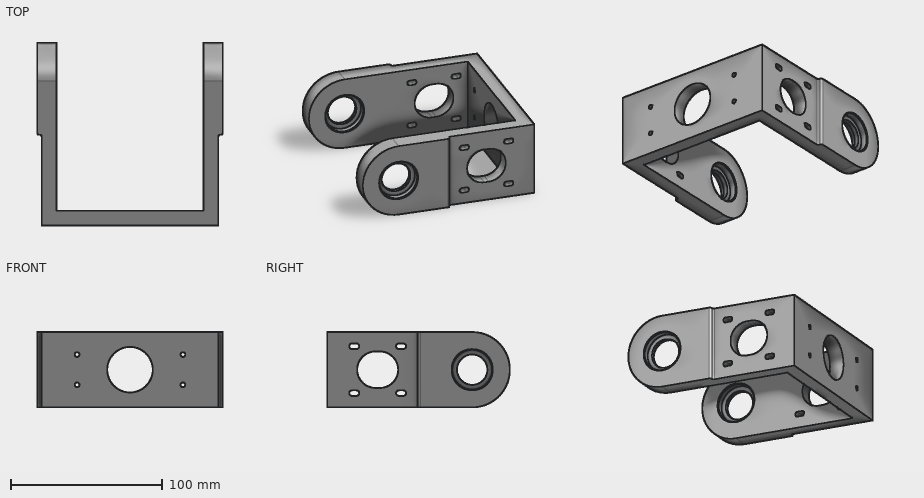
import cadquery as cq


height = 50.0
inner_width = 97.0
wall = 10.0
arm_length = 121.0
inner_half = inner_width / 2

pad_rise = 3.0
pad_thickness = wall + pad_rise
shoulder_y = 60.0
shoulder_round = 1.5
shoulder_fillet = 1.0

bore_y = arm_length - height / 2
bore_diameter = 20.0
seat_diameter = 26.2
seat_depth = 5.0
seat_chamfer = 0.6

mount_y = 33.5
mount_travel = 3.0
mount_pitch = 31.0
pilot_diameter = 24.0
mount_slot_width = 3.5

base_bore_diameter = 30.0
base_hole_diameter = 3.0
base_hole_pitch_x = 70.0
base_hole_pitch_z = 20.0


def make_base():
    """Plate between the two arms."""
    return cq.Workplane("XY").box(inner_width, wall, height, centered=(True, False, True))


def arm_plane(y):
    """Workplane on the inner face of the +X arm, at mid height."""
    return cq.Workplane("YZ", origin=(inner_half, y, 0))


def make_arm_blank():
    """Arm on the +X side, stepped up to the pad and rounded at its free end."""
    wall_x = inner_half + wall
    pad_x = inner_half + pad_thickness
    profile = (
        cq.Workplane("XY", origin=(0, 0, -height / 2))
        .moveTo(inner_half, 0)
        .lineTo(wall_x, 0)
        .lineTo(wall_x, shoulder_y - shoulder_fillet)
        .radiusArc((wall_x + shoulder_fillet, shoulder_y), shoulder_fillet)
        .lineTo(pad_x - shoulder_round, shoulder_y)
        .radiusArc((pad_x, shoulder_y + shoulder_round), -shoulder_round)
        .lineTo(pad_x, arm_length)
        .lineTo(inner_half, arm_length)
        .close()
    )
    return profile.extrude(height).intersect(make_side_outline())


def make_side_outline():
    """Round-ended arm outline across Y and Z, as thick as the pad."""
    half_height = height / 2
    return (
        arm_plane(0)
        .moveTo(0, -half_height)
        .lineTo(bore_y, -half_height)
        .threePointArc((arm_length, 0), (bore_y, half_height))
        .lineTo(0, half_height)
        .close()
        .extrude(pad_thickness)
    )


def make_bearing_cutter():
    """Through bore, plus a chamfered seat entering from each face of the pad."""
    bore = arm_plane(bore_y).circle(bore_diameter / 2).extrude(pad_thickness)
    seat_radius = seat_diameter / 2
    rim_radius = seat_radius + seat_chamfer
    for face_x, inward in ((inner_half, 1), (inner_half + pad_thickness, -1)):
        profile = [
            (face_x, 0),
            (face_x, rim_radius),
            (face_x + inward * seat_chamfer, seat_radius),
            (face_x + inward * seat_depth, seat_radius),
            (face_x + inward * seat_depth, 0),
        ]
        seat = cq.Workplane("XY").polyline(profile).close().revolve(360, (0, 0, 0), (1, 0, 0))
        bore = bore.union(seat.translate((0, bore_y, 0)))
    return bore


def make_motor_cutter():
    """Pilot opening with four screw slots around it."""
    plane = arm_plane(mount_y)
    pilot = plane.slot2D(pilot_diameter + mount_travel, pilot_diameter).extrude(wall)
    slots = (
        plane.rarray(mount_pitch, mount_pitch, 2, 2)
        .slot2D(mount_slot_width + mount_travel, mount_slot_width)
        .extrude(wall)
    )
    return pilot.union(slots)


def make_base_cutter():
    """Central bore and four screw holes through the base plate."""
    plane = cq.Workplane("XZ")
    bore = plane.circle(base_bore_diameter / 2).extrude(-wall)
    holes = (
        plane.rarray(base_hole_pitch_x, base_hole_pitch_z, 2, 2)
        .circle(base_hole_diameter / 2)
        .extrude(-wall)
    )
    return bore.union(holes)


arm = make_arm_blank().cut(make_bearing_cutter()).cut(make_motor_cutter())
base = make_base().cut(make_base_cutter())
result = base.union(arm).union(arm.mirror("YZ"))